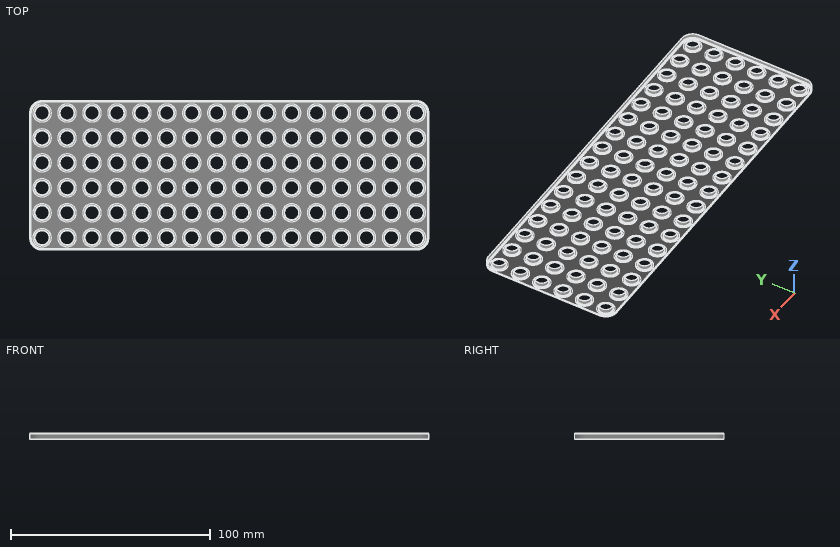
import cadquery as cq

length = 200.0
columns = 16
rows = 6
pitch = length / columns
width = rows * pitch
thickness = pitch / 4
corner_radius = pitch / 2

hole_diameter = 7.0
collar_diameter = 9.2

rim_width = 0.8
recess_depth = 0.2

bevel = 0.3


def rounded_slab(inset, bottom, height):
    """Slab with the outline of the plate drawn inwards by inset."""
    return (
        cq.Workplane("XY")
        .workplane(offset=bottom)
        .rect(length - 2 * inset, width - 2 * inset)
        .extrude(height)
        .edges("|Z")
        .fillet(corner_radius - inset)
    )


def on_hole_grid(shape):
    """Copies of a shape centred on every position of the hole grid."""
    return (
        cq.Workplane("XY")
        .rarray(pitch, pitch, columns, rows)
        .eachpoint(lambda location: shape.moved(location))
    )


def make_hole_cutter():
    """Through hole with a bevelled mouth at each face, as a solid to subtract."""
    hole_radius = hole_diameter / 2
    mouth_radius = hole_radius + bevel
    profile = [
        (0, 0),
        (mouth_radius, 0),
        (hole_radius, bevel),
        (hole_radius, thickness - bevel),
        (mouth_radius, thickness),
        (0, thickness),
    ]
    return cq.Workplane("XZ").polyline(profile).close().revolve(360, (0, 0), (0, 1)).val()


plate = rounded_slab(0, 0, thickness).faces("<Z or >Z").edges().chamfer(bevel)

collars = on_hole_grid(cq.Workplane("XY").circle(collar_diameter / 2).extrude(thickness).val())
for recess_bottom in (0, thickness - recess_depth):
    recess = rounded_slab(rim_width, recess_bottom, recess_depth).cut(collars)
    plate = plate.cut(recess)

result = plate.cut(on_hole_grid(make_hole_cutter()))